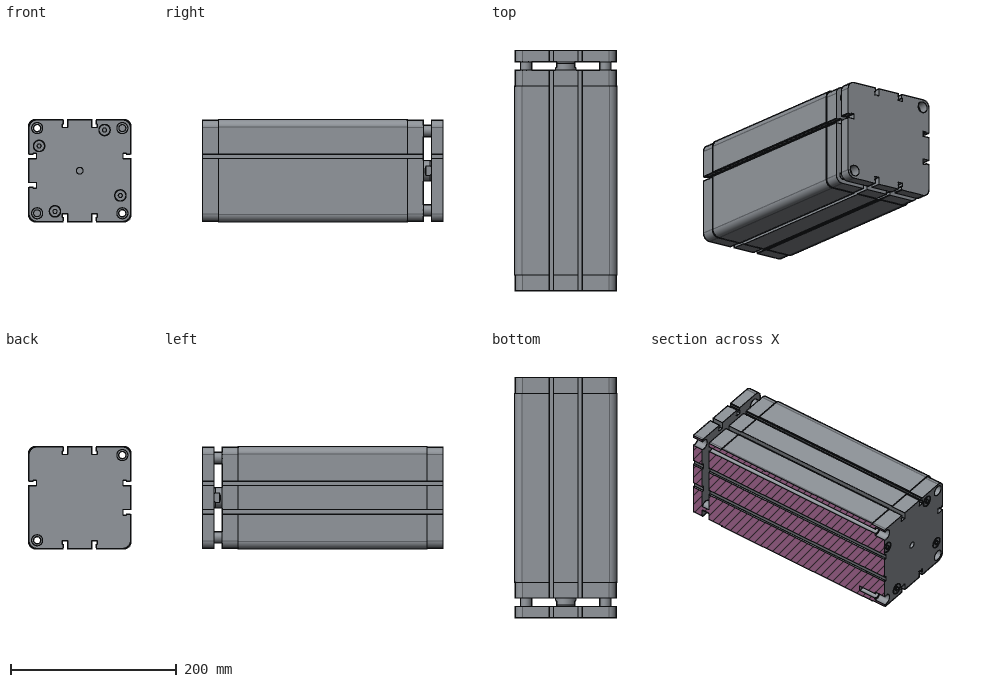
import cadquery as cq
import math

length = 290.5
body_side = 124.0
cap_side = 122.3
corner_radius = 9.0

cap_length = 19.2
body_end = 247.5
rear_cap_end = body_end + cap_length
plate_thickness = 14.0
plate_start = length - plate_thickness
rod_overlap = 3.0

slot_inner = 14.5
slot_outer = 19.8
undercut_outer = 21.0
slot_floor = 52.3
undercut_top = 56.5
lip_chamfer = 0.5
lip_floor = 60.5

mount_offset = 51.5
mount_diameter = 8.5
mount_bore_diameter = 13.5
mount_bore_depth = 14.5
blind_mount_depth = 2 * cap_length

screw_offset_long = 49.0
screw_offset_short = 30.0
screw_seat_diameter = 14.0
screw_head_diameter = 13.0
screw_gap_depth = 0.5
socket_flats = 4.6
socket_depth = 3.0

port_diameter = 8.0
port_depth = cap_length

piston_diameter = 25.0
piston_flats = 22.0
flat_end = 270.2
tip_chamfer_length = 1.7
tip_chamfer_depth = 0.5
guide_diameter = 14.0
guide_offset = 48.0


def rounded_block(side, y_start, y_end):
    block = cq.Workplane("XY").box(side, y_end - y_start, side)
    return block.edges("|Y").fillet(corner_radius).translate((0, (y_start + y_end) / 2, 0))


def rod(x, z, diameter, y_start, y_end):
    plane = cq.Plane(origin=(x, y_start, z), xDir=(1, 0, 0), normal=(0, 1, 0))
    return cq.Workplane(plane).circle(diameter / 2).extrude(y_end - y_start)


def top_slot():
    """Undercut slot in the +Z side, on the +X side of the centre plane."""
    outside = body_side
    outline = [
        (slot_inner, slot_floor),
        (undercut_outer, slot_floor),
        (undercut_outer, undercut_top),
        (slot_outer, undercut_top),
        (slot_outer, lip_floor),
        (slot_outer + lip_chamfer, lip_floor + lip_chamfer),
        (slot_outer + lip_chamfer, outside),
        (slot_inner, outside),
    ]
    return cq.Workplane("XZ").polyline(outline).close().extrude(-length)


def hex_socket(x, z):
    hexagon = cq.Workplane("XZ").polygon(6, socket_flats / math.cos(math.pi / 6))
    return hexagon.extrude(-socket_depth).translate((x, 0, z))


result = (
    rounded_block(cap_side, 0, cap_length)
    .union(rounded_block(body_side, cap_length, body_end))
    .union(rounded_block(cap_side, body_end, rear_cap_end))
    .union(rounded_block(cap_side, plate_start, length))
)

slot = top_slot()
mirrored_slot = slot.mirror("YZ")
for angle in (0, 90, 180, 270):
    sides = (mirrored_slot,) if angle == 90 else (slot, mirrored_slot)
    for side_slot in sides:
        result = result.cut(side_slot.rotate((0, 0, 0), (0, 1, 0), angle))

for x in (-mount_offset, mount_offset):
    for z in (-mount_offset, mount_offset):
        hole_end = blind_mount_depth if x == z else rear_cap_end
        result = result.cut(rod(x, z, mount_diameter, 0, hole_end))
        result = result.cut(rod(x, z, mount_bore_diameter, 0, mount_bore_depth))
for x in (-mount_offset, mount_offset):
    result = result.cut(rod(x, -x, mount_bore_diameter, plate_start, length))

for x, z in (
    (-screw_offset_long, screw_offset_short),
    (screw_offset_short, screw_offset_long),
    (screw_offset_long, -screw_offset_short),
    (-screw_offset_short, -screw_offset_long),
):
    seat = rod(x, z, screw_seat_diameter, 0, screw_gap_depth)
    head = rod(x, z, screw_head_diameter, 0, screw_gap_depth)
    result = result.cut(seat.cut(head))
    result = result.cut(hex_socket(x, z))

result = result.cut(rod(0, 0, port_diameter, 0, port_depth))

runout = (piston_diameter - piston_flats) / 2
flat_profile = [
    (piston_flats / 2, plate_start),
    (piston_flats / 2, flat_end),
    (piston_flats / 2 + runout, flat_end - runout),
    (piston_flats / 2 + runout, plate_start),
]
flat_cut = (
    cq.Workplane("XY").polyline(flat_profile).close().extrude(piston_diameter / 2, both=True)
)
piston = rod(0, 0, piston_diameter, rear_cap_end - rod_overlap, plate_start)
piston = piston.faces(">Y").chamfer(tip_chamfer_length, tip_chamfer_depth)
result = result.union(piston.cut(flat_cut).cut(flat_cut.mirror("YZ")))

for offset in (-guide_offset, guide_offset):
    guide = rod(offset, offset, guide_diameter, rear_cap_end - rod_overlap, plate_start + rod_overlap)
    result = result.union(guide)